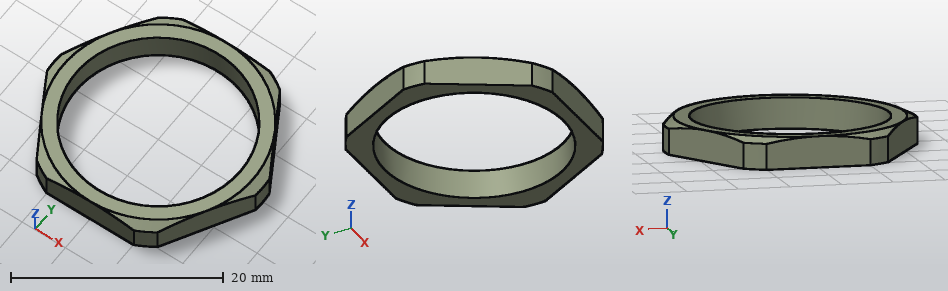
import cadquery as cq
import math

across_flats = 22.0
corner_diameter = 24.2
bore_diameter = 19.0
thickness = 3.0
chamfer_drop = 0.5

sharp_corner_diameter = across_flats / math.cos(math.radians(30))
hexagon = cq.Workplane("XY").polygon(6, sharp_corner_diameter).extrude(thickness)

envelope = (
    cq.Workplane("XZ")
    .moveTo(0, 0)
    .lineTo(corner_diameter / 2, 0)
    .lineTo(corner_diameter / 2, thickness - chamfer_drop)
    .lineTo(across_flats / 2, thickness)
    .lineTo(0, thickness)
    .close()
    .revolve(360, (0, 0, 0), (0, 1, 0))
)

bore = cq.Workplane("XY").circle(bore_diameter / 2).extrude(thickness)

result = hexagon.intersect(envelope).cut(bore)